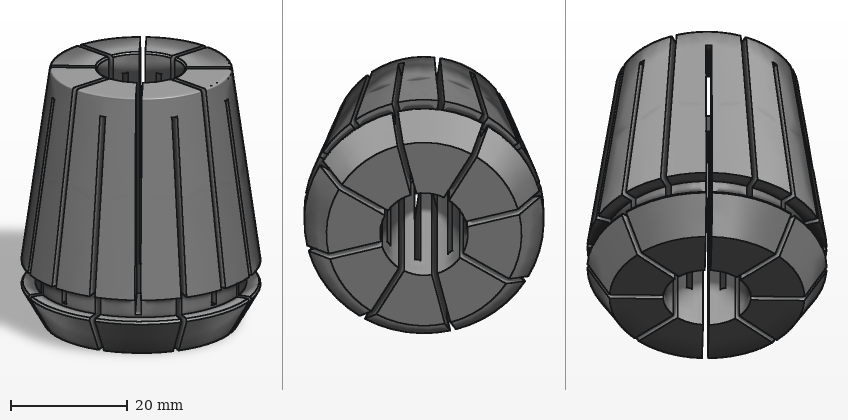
import cadquery as cq
import math

height = 46.0
groove_bottom_z = 7.05
rim_height = 0.45
cone_base_z = 11.0

max_diameter = 41.0
groove_radius = 18.12
bore_radius = 7.5
cone_angle = 8.0
nose_angle = 30.0
rim_inset = 0.28
top_round = 0.5
bore_chamfer = 0.3

slot_width = 1.0
slots_per_end = 8
nose_slot_top_z = 42.35
top_slot_floor_z = 7.55

max_radius = max_diameter / 2
cone_radians = math.radians(cone_angle)
slot_pitch = 360.0 / slots_per_end
rim_z = groove_bottom_z - rim_height
nose_radius = max_radius - rim_z * math.tan(math.radians(nose_angle))
top_radius = max_radius - (height - cone_base_z) * math.tan(cone_radians)

round_centre_z = height - top_round
round_tangent_length = top_round * math.tan((math.pi / 2 - cone_radians) / 2)
round_centre_radius = top_radius - round_tangent_length
round_start = (
    round_centre_radius + top_round * math.cos(cone_radians),
    round_centre_z + top_round * math.sin(cone_radians),
)


def collet_body():
    """Revolved half section: steep nose cone, clamping groove, long taper and bore."""
    return (
        cq.Workplane("XZ")
        .moveTo(bore_radius, 0)
        .lineTo(nose_radius, 0)
        .lineTo(max_radius, rim_z)
        .lineTo(max_radius - rim_inset, groove_bottom_z)
        .lineTo(groove_radius, groove_bottom_z)
        .lineTo(groove_radius, cone_base_z)
        .lineTo(max_radius, cone_base_z)
        .lineTo(*round_start)
        .radiusArc((round_centre_radius, height), -top_round)
        .lineTo(bore_radius + bore_chamfer, height)
        .lineTo(bore_radius, height - bore_chamfer)
        .close()
        .revolve(360, (0, 0, 0), (0, 1, 0))
    )


def slot_ring(bottom_z, top_z, first_angle):
    """Radial cutters spaced evenly around the axis, from the centre out past the rim."""
    ring = cq.Workplane("XY")
    for index in range(slots_per_end):
        cutter = (
            cq.Workplane("XY")
            .workplane(offset=bottom_z)
            .rect(max_diameter, slot_width)
            .extrude(top_z - bottom_z)
            .translate((max_radius, 0, 0))
            .rotate((0, 0, 0), (0, 0, 1), first_angle + index * slot_pitch)
        )
        ring = ring.add(cutter)
    return ring.combine()


nose_slots = slot_ring(0, nose_slot_top_z, 0)
top_slots = slot_ring(top_slot_floor_z, height, slot_pitch / 2)

result = collet_body().cut(nose_slots).cut(top_slots)